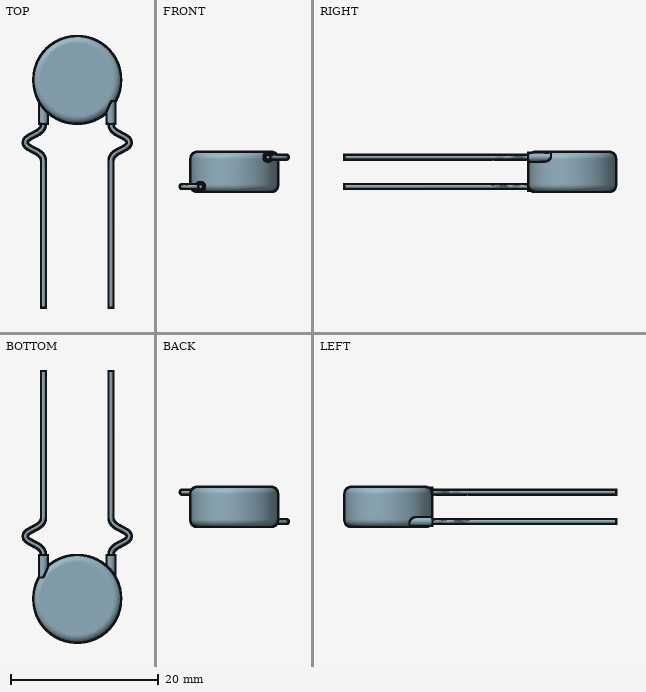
import cadquery as cq


disc_diameter = 12.0
disc_thickness = 5.5
disc_edge_radius = 1.0
disc_radius = disc_diameter / 2

overall_length = 37.0
overall_width = 14.85
wire_diameter = 0.7
wire_radius = wire_diameter / 2
lead_spacing = 9.18
lead_x = lead_spacing / 2
lead_height_offset = 2.0
lead_end_y = disc_radius - overall_length

sleeve_diameter = 1.25
sleeve_length = 3.1
sleeve_end_y = -disc_radius

kink_half_length = 2.5
kink_root_handle = 1.48
kink_crest_handle = 1.0
kink_depth = overall_width / 2 - wire_radius - lead_x


def make_disc():
    return (
        cq.Workplane("XY", origin=(0, 0, -disc_thickness / 2))
        .circle(disc_radius)
        .extrude(disc_thickness)
        .edges()
        .fillet(disc_edge_radius)
    )


def make_upper_sleeve():
    return (
        cq.Workplane("XZ", origin=(lead_x, sleeve_end_y + sleeve_length, lead_height_offset))
        .circle(sleeve_diameter / 2)
        .extrude(sleeve_length)
    )


def make_upper_lead():
    """Lead at +X, near the top face, starting flush on the end of its sleeve."""
    kink_start = cq.Vector(lead_x, sleeve_end_y)
    kink_crest = kink_start + cq.Vector(kink_depth, -kink_half_length)
    kink_end = kink_start + cq.Vector(0, -2 * kink_half_length)
    root_handle = cq.Vector(0, -kink_root_handle)
    crest_handle = cq.Vector(0, -kink_crest_handle)

    path = (
        cq.Workplane("XY", origin=(0, 0, lead_height_offset))
        .bezier([kink_start, kink_start + root_handle, kink_crest - crest_handle, kink_crest])
        .bezier([kink_crest, kink_crest + crest_handle, kink_end - root_handle, kink_end])
        .lineTo(lead_x, lead_end_y)
    )
    return (
        cq.Workplane("XZ", origin=(lead_x, sleeve_end_y, lead_height_offset))
        .circle(wire_radius)
        .sweep(path)
    )


def turn_about_lead_direction(body, angle):
    return body.rotate((0, 0, 0), (0, 1, 0), angle)


lead_turns = (0, 180)

housing = make_disc()
for turn in lead_turns:
    housing = housing.union(turn_about_lead_direction(make_upper_sleeve(), turn))

leads = [turn_about_lead_direction(make_upper_lead(), turn) for turn in lead_turns]

result = cq.Compound.makeCompound([housing.val(), *(lead.val() for lead in leads)])